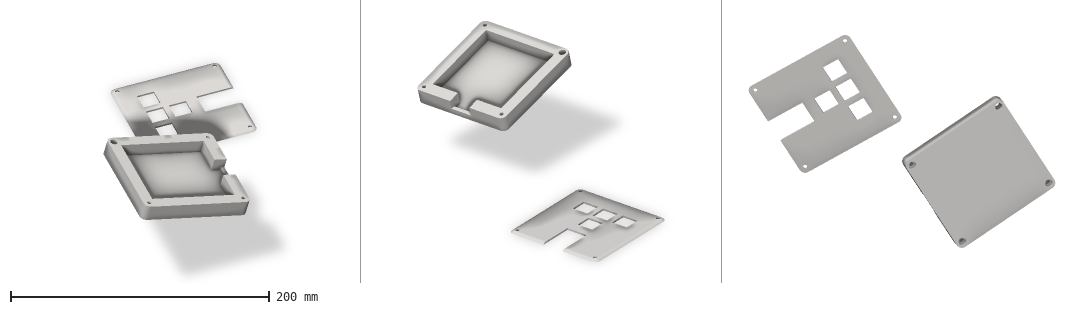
import cadquery as cq
import math


TOTAL_X = 219.5
TOTAL_Y = 149.5
TOTAL_Z = 82.3

WIDTH = 85.2
LENGTH = 91.0
CORNER_RADIUS = 4.8
HOLE_INSET = 5.0
SCREW_DIAMETER = 3.3
HEAD_DIAMETER = 6.0

NOTCH_WIDTH = 18.7
NOTCH_X = -0.7

PLATE_THICKNESS = 1.5
PLATE_EDGE_RADIUS = 5.0
PLATE_NOTCH_DEPTH = 31.0
KEY_SIZE = 14.0
KEY_PITCH = 19.0
KEY_X = -1.0
KEY_ROW_Y = -21.0

HOUSING_HEIGHT = 13.2
HOUSING_TILT = 15.0
FLOOR_THICKNESS = 2.5
SIDE_WALL = 9.5
FRONT_WALL = 9.5
REAR_WALL = 10.5
SILL_THICKNESS = 3.3
SILL_HEIGHT = 5.3
HEAD_DEPTH = 3.0


def rounded_block(width, length, height, corner_radius):
    """Block standing on Z = 0, centred in X and Y, with rounded upright edges."""
    block = cq.Workplane("XY").box(width, length, height, centered=(True, True, False))
    return block.edges("|Z").fillet(corner_radius)


def box_between(x_min, x_max, y_min, y_max, z_min, z_max):
    box = cq.Workplane("XY").box(x_max - x_min, y_max - y_min, z_max - z_min, centered=False)
    return box.translate((x_min, y_min, z_min))


def screw_points():
    x = WIDTH / 2 - HOLE_INSET
    y = LENGTH / 2 - HOLE_INSET
    return [(-x, -y), (x, -y), (-x, y), (x, y)]


def cylinders(points, diameter, height):
    return cq.Workplane("XY").pushPoints(points).circle(diameter / 2).extrude(height)


def make_plate():
    drop = PLATE_EDGE_RADIUS - PLATE_THICKNESS
    overhang = PLATE_EDGE_RADIUS - math.sqrt(PLATE_EDGE_RADIUS**2 - drop**2)
    full_width = WIDTH + 2 * overhang
    full_length = LENGTH + 2 * overhang
    full_height = 2 * PLATE_EDGE_RADIUS
    plate = rounded_block(full_width, full_length, full_height, CORNER_RADIUS + overhang)
    plate = plate.faces(">Z").edges().fillet(PLATE_EDGE_RADIUS)
    plate = plate.translate((0, 0, PLATE_THICKNESS - full_height))
    plate = plate.intersect(box_between(
        -full_width / 2, full_width / 2,
        -full_length / 2, full_length / 2,
        0, PLATE_THICKNESS,
    ))

    plate = plate.cut(cylinders(screw_points(), SCREW_DIAMETER, PLATE_THICKNESS))
    notch = box_between(
        NOTCH_X - NOTCH_WIDTH / 2, NOTCH_X + NOTCH_WIDTH / 2,
        LENGTH / 2 - PLATE_NOTCH_DEPTH, LENGTH / 2,
        0, PLATE_THICKNESS,
    )
    key_points = [(KEY_X + i * KEY_PITCH, KEY_ROW_Y) for i in (-1, 0, 1)]
    key_points.append((KEY_X, KEY_ROW_Y + KEY_PITCH))
    keys = cq.Workplane("XY").pushPoints(key_points).rect(KEY_SIZE, KEY_SIZE).extrude(PLATE_THICKNESS)
    return plate.cut(notch).cut(keys)


def make_housing():
    housing = rounded_block(WIDTH, LENGTH, HOUSING_HEIGHT, CORNER_RADIUS)
    pocket_rear = LENGTH / 2 - REAR_WALL
    pocket = box_between(
        SIDE_WALL - WIDTH / 2, WIDTH / 2 - SIDE_WALL,
        FRONT_WALL - LENGTH / 2, pocket_rear,
        FLOOR_THICKNESS, HOUSING_HEIGHT,
    )
    notch_left = NOTCH_X - NOTCH_WIDTH / 2
    notch_right = NOTCH_X + NOTCH_WIDTH / 2
    sill_front = LENGTH / 2 - SILL_THICKNESS
    notch = box_between(notch_left, notch_right, pocket_rear, sill_front, FLOOR_THICKNESS, HOUSING_HEIGHT)
    opening = box_between(notch_left, notch_right, sill_front, LENGTH / 2, SILL_HEIGHT, HOUSING_HEIGHT)
    housing = housing.cut(pocket).cut(notch).cut(opening)

    points = screw_points()
    housing = housing.cut(cylinders(points, SCREW_DIAMETER, HOUSING_HEIGHT))
    housing = housing.cut(cylinders(points, HEAD_DIAMETER, HEAD_DEPTH))
    return housing.cut(cylinders(points[:1], HEAD_DIAMETER, HOUSING_HEIGHT))


def place_housing(housing):
    """Tilt the housing and move it to the far corner of the envelope."""
    tilted = housing.rotate((0, 0, 0), (1, 0, 0), -HOUSING_TILT)
    tilt = math.radians(HOUSING_TILT)
    tilted_front = -LENGTH / 2 * math.cos(tilt)
    tilted_top = LENGTH / 2 * math.sin(tilt) + HOUSING_HEIGHT * math.cos(tilt)
    return tilted.translate((
        TOTAL_X - WIDTH,
        LENGTH / 2 - TOTAL_Y - tilted_front,
        TOTAL_Z - tilted_top,
    ))


plate = make_plate()
housing = place_housing(make_housing())

result = cq.Compound.makeCompound([plate.val(), housing.val()])